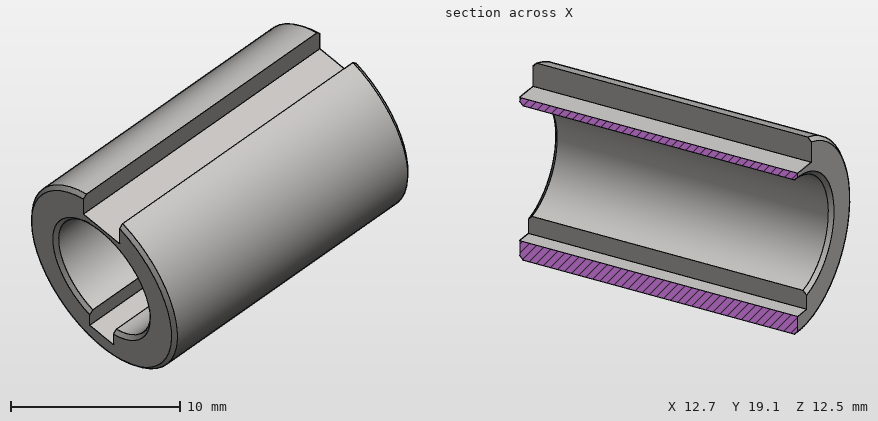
import cadquery as cq

length = 19.05
outer_diameter = 12.7
bore_diameter = 8.0
edge_chamfer = 0.25

outer_key_width = 3.15
outer_key_floor = 4.53

bore_key_width = 2.05
bore_key_floor = 5.07


def chamfered_sleeve():
    """Round tube centred on the origin, chamfered on all four end edges."""
    half_length = length / 2
    return (
        cq.Workplane("XZ", origin=(0, half_length, 0))
        .circle(outer_diameter / 2)
        .circle(bore_diameter / 2)
        .extrude(length)
        .faces("<Y or >Y")
        .edges()
        .chamfer(edge_chamfer)
    )


def keyway(width, z_low, z_high):
    """Full-length rectangular cutter between two heights."""
    height = z_high - z_low
    return cq.Workplane("XY").box(width, length, height).translate((0, 0, z_low + height / 2))


outer_keyway = keyway(outer_key_width, outer_key_floor, outer_diameter / 2)
bore_keyway = keyway(bore_key_width, -bore_key_floor, 0)

result = chamfered_sleeve().cut(outer_keyway).cut(bore_keyway)